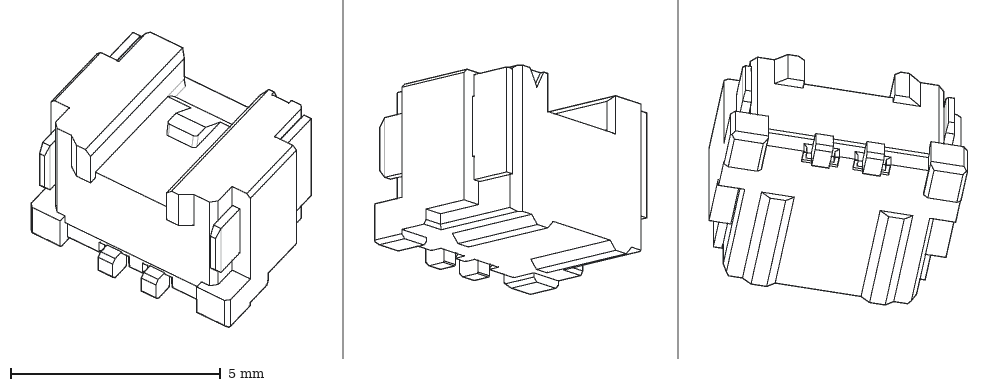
import cadquery as cq
import math


core_half_width = 2.345
back_y = 3.92
top_z = 3.84
base_z = 0.205
front_corner = 0.15
back_corner_x = 0.17
back_corner_y = 0.25
edge_chamfer = 0.105

wing_half_width = 2.875
wing_front_y = 0.735
wing_back_y = 2.69
wing_step_y = 1.495
wing_step_z = 0.57
wing_step_lead_y = 0.065

channel_half_width = 1.09
channel_chamfer = 0.15
floor_z = 2.985
rear_floor_z = 2.89
rear_fillet = 0.105

tab_half_width = 0.425
tab_top_z = 3.33
tab_tip_y = 1.985
tab_tip_draft = 0.06
tab_corner = 0.085
ramp_top_y = 2.44
ramp_floor_y = 3.065
ramp_slope = (tab_top_z - floor_z) / (ramp_floor_y - ramp_top_y)
ramp_end_y = ramp_floor_y + (floor_z - rear_floor_z) / ramp_slope

front_reach = 0.205
arm_bottom_z = 2.795
arm_slopes = [(-1, 1.5, 1.79), (1, 1.445, 1.75)]

foot_inner_x = 1.965
foot_top_z = 1.005
foot_front_chamfer = 0.145

rail_center_x = 1.44
rail_tip_width = 0.38
rail_front_y = 1.43

recess_depth = 0.105
recess_top_z = 0.775

pin_center_x = 0.62
pin_width = 0.42
pin_front_y = -0.27
pin_back_y = 0.315
pin_bottom_z = -0.07
pin_top_z = 0.58
pin_chamfer = 0.105
pin_heel_chamfer = 0.03
pocket_width = 0.87
pocket_top_z = 0.54
pocket_flare = 0.09
pocket_back_y = 0.345
underside_back_y = 0.4

blade_inner_x = 2.36
blade_outer_x = 2.57
blade_tip_inset = 0.035
blade_tip_y = -0.25
blade_taper_y = -0.065
blade_low_z = 1.72
blade_high_z = 3.21
blade_tip_chamfer = 0.205
plate_front_y = 2.74
plate_back_y = 3.765
plate_low_z = 1.125
plate_high_z = top_z - edge_chamfer

mark_center_x = 1.645
mark_width = 0.5
mark_depth = 0.105
mark_height = mark_width * math.sqrt(3) / 2


def box(x0, x1, y0, y1, z0, z1):
    """Box between two opposite corners."""
    return cq.Workplane("XY").box(x1 - x0, y1 - y0, z1 - z0, centered=False).translate((x0, y0, z0))


def prism_x(yz_points, x0, x1):
    """Y-Z outline extruded from x0 to x1."""
    return cq.Workplane("YZ", origin=(x0, 0, 0)).polyline(yz_points).close().extrude(x1 - x0)


def prism_y(xz_points, y0, y1):
    """X-Z outline extruded from y0 to y1."""
    return cq.Workplane("XZ", origin=(0, y0, 0)).polyline(xz_points).close().extrude(y0 - y1)


def prism_z(xy_points, z0, z1):
    """X-Y outline extruded from z0 to z1."""
    return cq.Workplane("XY", origin=(0, 0, z0)).polyline(xy_points).close().extrude(z1 - z0)


def both_sides(shape):
    """The shape together with its mirror image across X = 0."""
    return shape.union(shape.mirror("YZ"))


def make_core():
    half = [
        (core_half_width - front_corner, 0),
        (core_half_width, front_corner),
        (core_half_width, back_y - back_corner_y),
        (core_half_width - back_corner_x, back_y),
    ]
    plan = half + [(-x, y) for x, y in reversed(half)]
    inset = core_half_width - edge_chamfer
    section = [
        (inset, base_z),
        (core_half_width, base_z + edge_chamfer),
        (core_half_width, top_z - edge_chamfer),
        (inset, top_z),
    ]
    section += [(-x, z) for x, z in reversed(section)]
    rear = prism_z(plan, base_z, top_z).intersect(prism_y(section, wing_front_y, back_y))
    front = prism_z(plan, base_z, top_z).intersect(
        box(-core_half_width, core_half_width, 0, wing_front_y, base_z, top_z)
    )
    return rear.union(front)


def make_wings():
    side = [
        (wing_front_y, base_z),
        (wing_step_y - wing_step_lead_y, base_z),
        (wing_step_y, base_z + edge_chamfer),
        (wing_step_y, wing_step_z),
        (wing_back_y, wing_step_z),
        (wing_back_y, top_z),
        (wing_front_y, top_z),
    ]
    wing = prism_x(side, channel_half_width + channel_chamfer, wing_half_width)
    return both_sides(wing.edges("|Y and >X and >Z").chamfer(edge_chamfer))


def make_arm(side, slope_start, slope_end):
    plan = [
        (side * channel_half_width, 0),
        (side * channel_half_width, -front_reach),
        (side * slope_start, -front_reach),
        (side * slope_end, 0),
    ]
    return prism_z(plan, arm_bottom_z, top_z)


def channel_cut():
    edge = channel_half_width + channel_chamfer
    section = [
        (-channel_half_width, rear_floor_z),
        (channel_half_width, rear_floor_z),
        (channel_half_width, top_z - channel_chamfer),
        (edge, top_z),
        (-edge, top_z),
        (-channel_half_width, top_z - channel_chamfer),
    ]
    channel = prism_y(section, -front_reach, back_y)
    floor = [
        (0, rear_floor_z),
        (0, floor_z),
        (ramp_floor_y, floor_z),
        (ramp_end_y, rear_floor_z),
    ]
    channel = channel.cut(prism_x(floor, -channel_half_width, channel_half_width))
    fillet_x = channel_half_width - rear_fillet
    fillet_z = rear_floor_z + rear_fillet
    fillet = box(fillet_x, channel_half_width, ramp_floor_y, back_y, rear_floor_z, fillet_z)
    rod = (
        cq.Workplane("XZ", origin=(fillet_x, ramp_floor_y, fillet_z))
        .circle(rear_fillet)
        .extrude(ramp_floor_y - back_y)
    )
    channel = channel.cut(both_sides(fillet.cut(rod)))
    flare_length = edge - fillet_x
    flare = [(edge, back_y), (fillet_x, back_y - flare_length), (fillet_x, back_y)]
    return channel.union(both_sides(prism_z(flare, rear_floor_z, top_z)))


def make_tab():
    profile = [
        (tab_tip_y, floor_z),
        (tab_tip_y + tab_tip_draft, tab_top_z),
        (ramp_top_y, tab_top_z),
        (ramp_floor_y, floor_z),
    ]
    tab = prism_x(profile, -tab_half_width, tab_half_width)
    return tab.faces("<Y").edges("not |X").fillet(tab_corner)


def make_feet():
    foot = box(foot_inner_x, wing_half_width, -front_reach, wing_front_y, 0, foot_top_z)
    foot = foot.edges("|Z and >X and <Y").chamfer(edge_chamfer)
    section = [
        (foot_inner_x, edge_chamfer),
        (foot_inner_x + edge_chamfer, 0),
        (wing_half_width - edge_chamfer, 0),
        (wing_half_width, edge_chamfer),
        (wing_half_width, foot_top_z),
        (foot_inner_x, foot_top_z),
    ]
    foot = foot.intersect(prism_y(section, -front_reach, wing_front_y))
    toe = [
        (-front_reach, 0),
        (-front_reach + foot_front_chamfer, 0),
        (-front_reach, foot_front_chamfer),
    ]
    return both_sides(foot.cut(prism_x(toe, foot_inner_x, wing_half_width)))


def make_rails():
    half_tip = rail_tip_width / 2
    half_root = half_tip + base_z
    section = [
        (rail_center_x - half_root, base_z),
        (rail_center_x - half_tip, 0),
        (rail_center_x + half_tip, 0),
        (rail_center_x + half_root, base_z),
    ]
    return both_sides(prism_y(section, rail_front_y, back_y))


def pocket_cut():
    half = pocket_width / 2
    flare_end_y = recess_depth + pocket_flare
    right_edge = [
        (pin_center_x + half, recess_depth),
        (pin_center_x + half - pocket_flare, flare_end_y),
        (pin_center_x + half - pocket_flare, pocket_back_y),
    ]
    plan = right_edge + [(2 * pin_center_x - x, y) for x, y in reversed(right_edge)]
    pocket = prism_z(plan, base_z, pocket_top_z)
    relief = [
        (recess_depth, base_z),
        (flare_end_y, base_z + pocket_flare),
        (underside_back_y, base_z + pocket_flare),
        (underside_back_y, base_z),
    ]
    return both_sides(pocket.union(prism_x(relief, pin_center_x - half, pin_center_x + half)))


def make_pins():
    profile = [
        (pin_front_y, pin_bottom_z + pin_chamfer),
        (pin_front_y + pin_chamfer, pin_bottom_z),
        (pin_back_y - pin_heel_chamfer, pin_bottom_z),
        (pin_back_y, pin_bottom_z + pin_heel_chamfer),
        (pin_back_y, base_z + pocket_flare),
        (pocket_back_y, base_z + pocket_flare),
        (pocket_back_y, pin_top_z),
        (pin_front_y + pin_chamfer, pin_top_z),
        (pin_front_y, pin_top_z - pin_chamfer),
    ]
    return both_sides(prism_x(profile, pin_center_x - pin_width / 2, pin_center_x + pin_width / 2))


def make_blades():
    tip = [
        (wing_front_y, blade_low_z),
        (blade_taper_y, blade_low_z),
        (blade_tip_y, blade_low_z + blade_tip_chamfer),
        (blade_tip_y, blade_high_z - blade_tip_chamfer),
        (blade_taper_y, blade_high_z),
        (wing_front_y, blade_high_z),
    ]
    plan = [
        (blade_inner_x, wing_front_y),
        (blade_inner_x, blade_taper_y),
        (blade_inner_x + blade_tip_inset, blade_tip_y),
        (blade_outer_x - blade_tip_inset, blade_tip_y),
        (blade_outer_x, blade_taper_y),
        (blade_outer_x, wing_front_y),
    ]
    front = prism_x(tip, blade_inner_x, blade_outer_x).intersect(prism_z(plan, blade_low_z, blade_high_z))
    neck = box(blade_inner_x, blade_outer_x, wing_back_y, plate_front_y, blade_low_z, blade_high_z)
    plate = box(blade_inner_x, blade_outer_x, plate_front_y, plate_back_y, plate_low_z, plate_high_z)
    return both_sides(front.union(neck).union(plate))


def mark_cut():
    triangle = [
        (mark_center_x - mark_width / 2, top_z),
        (mark_center_x + mark_width / 2, top_z),
        (mark_center_x, top_z - mark_height),
    ]
    return prism_y(triangle, back_y - mark_depth, back_y)


housing = make_core().union(make_wings())
for arm in arm_slopes:
    housing = housing.union(make_arm(*arm))
housing = housing.cut(box(-core_half_width, core_half_width, 0, recess_depth, base_z, recess_top_z))
housing = housing.cut(channel_cut())
housing = housing.cut(pocket_cut())
housing = housing.cut(mark_cut())

result = housing.union(make_tab()).union(make_feet()).union(make_rails())
result = result.union(make_pins()).union(make_blades())